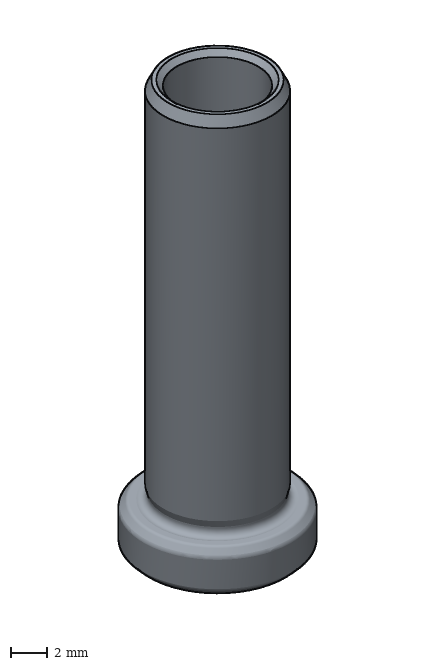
import cadquery as cq
import math

length = 30.05
bore_diameter = 6
shaft_diameter = 8.0
neck_diameter = 7.75
head_diameter = 10.95
head_height = 3.07

head_chamfer = 0.48
head_top_blend = 0.3
head_bottom_blend = 0.2

lead_in_height = 0.7
lead_in_width = 0.35
bore_chamfer = 0.35

undercut_top = 4.05
undercut_run_angle = math.radians(15)
undercut_face_angle = math.radians(8)
undercut_radius = 0.45
undercut_face_diameter = 8.95

shaft_radius = shaft_diameter / 2
neck_radius = neck_diameter / 2
bore_radius = bore_diameter / 2


def make_head():
    head = cq.Workplane("XY").circle(head_diameter / 2).extrude(head_height)
    head = head.faces("<Z or >Z").chamfer(head_chamfer)
    rims = head.edges("%CIRCLE")
    middle = head_height / 2
    upper_rims = [rim for rim in rims.vals() if rim.Center().z > middle]
    lower_rims = [rim for rim in rims.vals() if head_chamfer / 2 < rim.Center().z < middle]
    head = head.newObject(upper_rims).fillet(head_top_blend)
    return head.newObject(lower_rims).fillet(head_bottom_blend)


def make_shaft():
    shaft = cq.Workplane("XY").circle(shaft_radius).extrude(length)
    return shaft.faces(">Z").chamfer(lead_in_height, lead_in_width)


def make_collar():
    """Stock around the foot of the shaft, which the undercut shapes into a fillet."""
    return cq.Workplane("XY").circle(undercut_face_diameter / 2).extrude(undercut_top)


def make_undercut():
    """Ring relieving the shaft and the head face, with a fillet in its corner."""
    face_radius = undercut_face_diameter / 2
    neck_top = undercut_top - (shaft_radius - neck_radius) / math.tan(undercut_run_angle)

    center_r = neck_radius + undercut_radius
    touch_r = center_r + undercut_radius * math.sin(undercut_face_angle)
    touch_z = head_height - (face_radius - touch_r) * math.tan(undercut_face_angle)
    center_z = touch_z + undercut_radius * math.cos(undercut_face_angle)
    mid_angle = (math.pi + 1.5 * math.pi + undercut_face_angle) / 2
    fillet_middle = (
        center_r + undercut_radius * math.cos(mid_angle),
        center_z + undercut_radius * math.sin(mid_angle),
    )
    return (
        cq.Workplane("XZ")
        .moveTo(shaft_radius, undercut_top)
        .lineTo(neck_radius, neck_top)
        .lineTo(neck_radius, center_z)
        .threePointArc(fillet_middle, (touch_r, touch_z))
        .lineTo(face_radius, head_height)
        .lineTo(face_radius, undercut_top)
        .close()
        .revolve(360, (0, 0, 0), (0, 1, 0))
    )


def cut_bore(body):
    body = body.cut(cq.Workplane("XY").circle(bore_radius).extrude(length))
    return body.faces(">Z").edges(cq.selectors.RadiusNthSelector(0)).chamfer(bore_chamfer)


body = make_head().union(make_shaft()).union(make_collar())
result = cut_bore(body.cut(make_undercut()))